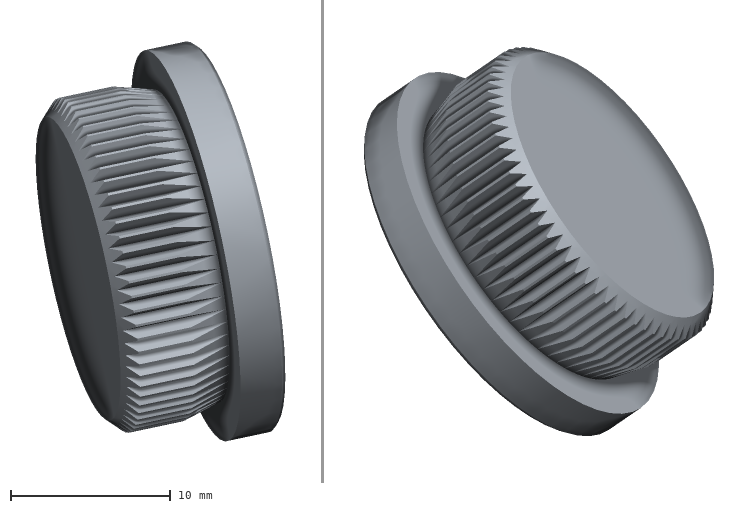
import cadquery as cq
import math

flange_radius = 12.5
flange_thickness = 3.0
flange_chamfer = 0.3

plug_length = 7.0
plug_radius = 10.7
plug_neck_radius = 10.0
taper_length = 2.5
tip_chamfer = 1.0

groove_count = 70
groove_root_radius = plug_neck_radius
groove_angle = 60.0
groove_overshoot = 0.25

flange_back = flange_thickness
tip = -plug_length


def turn(profile):
    """Solid of revolution about the Y axis from (axial place, radius) points."""
    return cq.Workplane("YZ").polyline(profile).close().revolve(360, (0, 0, 0), (1, 0, 0)).val()


def make_flange():
    return turn([
        (flange_back, 0),
        (flange_back, flange_radius - flange_chamfer),
        (flange_back - flange_chamfer, flange_radius),
        (0, flange_radius),
        (0, 0),
    ])


def make_plain_plug():
    return turn([
        (0, 0),
        (0, plug_neck_radius),
        (-taper_length, plug_radius),
        (tip + tip_chamfer, plug_radius),
        (tip, plug_radius - tip_chamfer),
        (tip, 0),
    ])


def make_groove_cutters():
    """Ring of V-shaped prisms, the first one pointing to +Z."""
    cutter_radius = plug_radius + groove_overshoot
    half_width = (cutter_radius - groove_root_radius) * math.tan(math.radians(groove_angle / 2))
    section = [
        (0, groove_root_radius),
        (half_width, cutter_radius),
        (-half_width, cutter_radius),
    ]
    cutter = cq.Workplane("XZ").polyline(section).close().extrude(plug_length).val()
    pitch_angle = 360 / groove_count
    axis_start = cq.Vector(0, 0, 0)
    axis_end = cq.Vector(0, 1, 0)
    return [cutter.rotate(axis_start, axis_end, i * pitch_angle) for i in range(groove_count)]


splined_plug = make_plain_plug().cut(*make_groove_cutters())
result = cq.Workplane("XY").newObject([make_flange().fuse(splined_plug)])